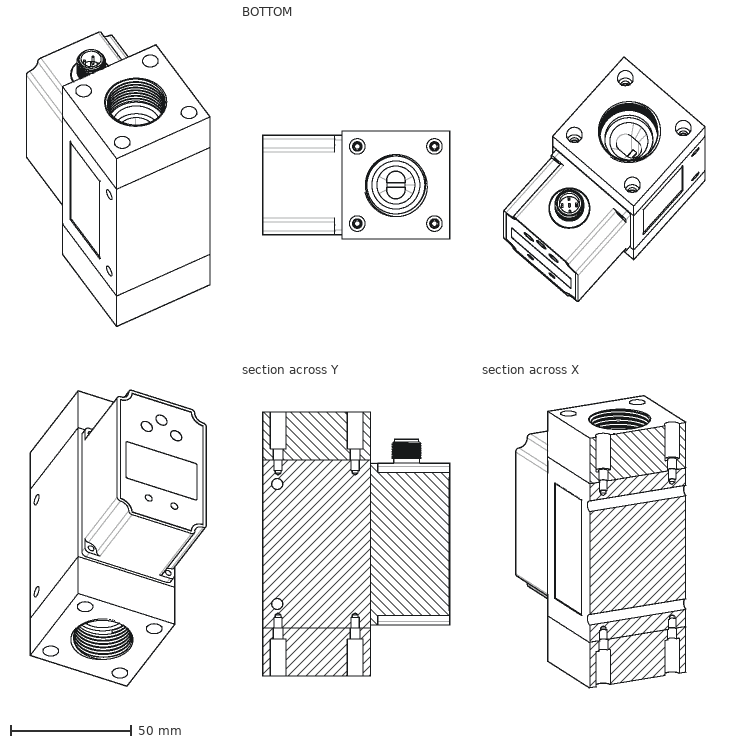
import cadquery as cq
import math

total_length = 110.0
block_side = 45.0
block_length = 70.0
half_side = block_side / 2
half_block = block_length / 2
adapter_length = (total_length - block_length) / 2

pipe_thread_minor = 24.1
pipe_thread_major = 26.4
pipe_thread_pitch = 1.82
pipe_thread_depth = 15.0
pipe_groove_mouth = 0.8 * pipe_thread_pitch
pipe_groove_root = 0.2 * pipe_thread_pitch
pipe_thread_phase = 45.0
pipe_entry_chamfer = 0.7
adapter_bore = 20.0
inlet_diameter = 15.8
inlet_depth = 9.9
channel_width = 7.6
channel_height = 11.4
bluff_bar_size = 2.0

groove_overlap = 0.1

bolt_offset = 16.1
bolt_counterbore = 6.5
bolt_counterbore_depth = 15.4
bolt_clearance = 4.0
bolt_tap_drill = 3.3
bolt_tap_depth = 4.4
bolt_pilot_drill = 2.3
bolt_pilot_depth = 5.5
drill_tip_angle = 118.0

mount_hole_diameter = 4.5
mount_hole_x = 16.4
mount_hole_z = 25.0
label_center_x = -4.0
label_width = 24.9
label_height = 50.7
label_depth = 0.5

housing_depth = 33.0
housing_width = 41.5
housing_height = 67.4
flange_thickness = 3.0
flange_corner_radius = 2.0
notch_reach = 5.4
notch_fillet = 1.5
notch_radius = notch_reach - notch_fillet
housing_screw_y = 17.9
housing_screw_z = 31.0
housing_screw_clearance = 2.5
housing_screw_drill = 2.0
housing_screw_depth = 3.8

panel_margin = 1.5
panel_depth = 0.2
mark_depth = 0.1
display_width = 33.0
display_height = 19.8
display_z = -4.6
display_corner_radius = 0.8
lamp_diameter = 5.2
lamp_positions = [(0, 22.9), (-6.8, 16.9), (6.8, 16.9)]
button_diameter = 3.2
button_positions = [(-5.9, -21.6), (5.9, -21.6)]

plug_offset = 15.0
plug_flange_diameter = 16.6
plug_flange_gap = 0.2
plug_flange_thickness = 1.1
plug_height = 9.9
plug_collar_diameter = 10.8
plug_rim_diameter = 10.1
plug_rim_height = 1.1
plug_thread_major = 12.0
plug_thread_pitch = 1.0
plug_groove_mouth = 0.9 * plug_thread_pitch
plug_groove_root = 0.03 * plug_thread_pitch
plug_thread_minor = 10.9
plug_collar_height = 1.9
plug_chamfer = 0.7
plug_thread_inset = 0.3
plug_socket_diameter = 8.4
plug_socket_depth = 6.6
pin_diameter = 0.8
pin_spacing = 4.2
pin_top_below_rim = 2.1

housing_back_x = -half_side
housing_front_x = housing_back_x - housing_depth
flange_front_x = housing_back_x - flange_thickness
housing_top_z = housing_height / 2
plug_x = housing_back_x - plug_offset
bolt_points = [(sx * bolt_offset, sy * bolt_offset) for sx in (-1, 1) for sy in (-1, 1)]


def thread_groove(pitch, height, mouth_radius, root_radius, mouth_width, root_width):
    """Helical cutter around Z, starting at z = 0, with a trapezoid section."""
    helix = cq.Wire.makeHelix(pitch, height, mouth_radius)
    section = cq.Workplane("XZ").polyline([
        (mouth_radius, -mouth_width / 2),
        (root_radius, -root_width / 2),
        (root_radius, root_width / 2),
        (mouth_radius, mouth_width / 2),
    ]).close()
    return section.sweep(cq.Workplane(obj=helix), isFrenet=True)


def make_adapter():
    """Threaded pipe adapter standing on z = 0 with its pipe thread at the top."""
    thread_floor = adapter_length - pipe_thread_depth
    body = cq.Workplane("XY").rect(block_side, block_side).extrude(adapter_length)
    body = body.faces(">Z").workplane().hole(adapter_bore)
    body = body.faces(">Z").workplane().hole(pipe_thread_minor, pipe_thread_depth)
    body = body.faces(">Z").workplane().pushPoints(bolt_points).cboreHole(
        bolt_clearance, bolt_counterbore, bolt_counterbore_depth
    )
    groove = thread_groove(
        pipe_thread_pitch,
        pipe_thread_depth,
        pipe_thread_minor / 2 - groove_overlap,
        pipe_thread_major / 2,
        pipe_groove_mouth,
        pipe_groove_root,
    )
    groove = groove.rotate((0, 0, 0), (0, 0, 1), pipe_thread_phase)
    groove = groove.translate((0, 0, thread_floor + pipe_thread_pitch / 2))
    body = body.cut(groove)

    minor_radius = pipe_thread_minor / 2
    entry_radius = minor_radius + pipe_entry_chamfer
    entry = cq.Solid.makeCone(
        minor_radius,
        entry_radius,
        pipe_entry_chamfer,
        pnt=cq.Vector(0, 0, adapter_length - pipe_entry_chamfer),
    )
    return body.cut(cq.Workplane(obj=entry))


def make_inlet():
    """Funnel from the round inlet at z = 0 down to the slot-shaped channel."""
    return (
        cq.Workplane("XY")
        .circle(inlet_diameter / 2)
        .workplane(offset=-inlet_depth)
        .slot2D(channel_height, channel_width, 90)
        .loft()
    )


def make_tapped_hole():
    """Stepped hole below z = 0 whose narrow pilot ends in a conical tip."""
    radius = bolt_tap_drill / 2
    pilot_radius = bolt_pilot_drill / 2
    tip_length = pilot_radius / math.tan(math.radians(drill_tip_angle / 2))
    return (
        cq.Workplane("XZ")
        .polyline([
            (0, 0),
            (radius, 0),
            (radius, -bolt_tap_depth),
            (pilot_radius, -bolt_tap_depth),
            (pilot_radius, -bolt_pilot_depth),
            (0, -bolt_pilot_depth - tip_length),
        ])
        .close()
        .revolve(360, (0, 0), (0, 1))
    )


def make_block():
    body = cq.Workplane("XY").box(block_side, block_side, block_length)

    channel = cq.Workplane("XY").slot2D(channel_height, channel_width, 90).extrude(half_block, both=True)
    body = body.cut(channel)
    upper_cuts = make_inlet()
    for x, y in bolt_points:
        upper_cuts = upper_cuts.union(make_tapped_hole().translate((x, y, 0)))
    upper_cuts = upper_cuts.translate((0, 0, half_block))
    body = body.cut(upper_cuts).cut(upper_cuts.mirror("XY"))
    body = body.union(cq.Workplane("XY").box(inlet_diameter, bluff_bar_size, bluff_bar_size))

    mount_holes = (
        cq.Workplane("XZ")
        .pushPoints([(mount_hole_x, -mount_hole_z), (mount_hole_x, mount_hole_z)])
        .circle(mount_hole_diameter / 2)
        .extrude(half_side, both=True)
    )
    label = cq.Workplane("XY").box(label_width, 2 * label_depth, label_height)
    label = label.translate((label_center_x, -half_side, 0))

    screw_holes = housing_screws(housing_back_x, housing_screw_drill, housing_screw_depth)
    return body.cut(mount_holes).cut(label).cut(screw_holes)


def yz_plane(x):
    """Plane at the given x whose local axes are Y and Z and whose normal is +X."""
    return cq.Workplane("YZ", origin=(x, 0, 0))


def housing_screws(start_x, diameter, depth):
    """Four cylinders in the corners of the housing, running from start_x toward +X."""
    return (
        yz_plane(start_x)
        .rect(2 * housing_screw_y, 2 * housing_screw_z, forConstruction=True)
        .vertices()
        .circle(diameter / 2)
        .extrude(depth)
    )


def make_case():
    """Front part of the housing: a box whose four long edges are scooped out for the screws."""
    half_w = housing_width / 2
    half_h = housing_height / 2
    edge = notch_reach + notch_fillet
    fillet_mid = notch_fillet * (1 - math.sqrt(0.5))
    notch_mid = notch_fillet + notch_radius * math.sqrt(0.5)
    notch = (
        yz_plane(housing_front_x)
        .moveTo(0, 0)
        .lineTo(0, edge)
        .threePointArc((fillet_mid, notch_reach + fillet_mid), (notch_fillet, notch_reach))
        .threePointArc((notch_mid, notch_mid), (notch_reach, notch_fillet))
        .threePointArc((notch_reach + fillet_mid, fillet_mid), (edge, 0))
        .close()
        .extrude(housing_depth - flange_thickness)
        .translate((0, -half_w, -half_h))
    )
    case = yz_plane(housing_front_x).rect(housing_width, housing_height)
    case = case.extrude(housing_depth - flange_thickness)
    for cutter in (notch, notch.mirror("XZ")):
        case = case.cut(cutter).cut(cutter.mirror("XY"))
    return case


def make_panel_marks():
    """Outlines of display, lamps and buttons as very shallow recesses in the panel."""
    panel = yz_plane(housing_front_x + panel_depth)
    display = panel.center(0, display_z).rect(display_width, display_height).extrude(mark_depth)
    display = display.edges("|X").fillet(display_corner_radius)
    lamps = panel.pushPoints(lamp_positions).circle(lamp_diameter / 2).extrude(mark_depth)
    buttons = panel.pushPoints(button_positions).circle(button_diameter / 2).extrude(mark_depth)
    return display.union(lamps).union(buttons)


def make_housing():
    case = make_case()
    case = case.faces("<X").wires().toPending().offset2D(-panel_margin).cutBlind(panel_depth)
    case = case.cut(make_panel_marks())

    flange = yz_plane(flange_front_x).rect(housing_width, housing_height).extrude(flange_thickness)
    flange = flange.edges("|X").fillet(flange_corner_radius)
    flange = flange.cut(housing_screws(flange_front_x, housing_screw_clearance, flange_thickness))

    plug_recess = (
        cq.Workplane("XY", origin=(plug_x, 0, housing_top_z))
        .circle(plug_flange_diameter / 2 + plug_flange_gap)
        .extrude(-plug_flange_thickness)
    )
    return case.union(flange).cut(plug_recess)


def make_plug():
    """Threaded five-pin plug, its flange flush with z = 0."""
    rim_start = plug_height - plug_rim_height
    thread_length = rim_start - plug_collar_height
    body = cq.Workplane("XY").circle(plug_flange_diameter / 2).extrude(-plug_flange_thickness)
    body = body.union(cq.Workplane("XY").circle(plug_collar_diameter / 2).extrude(plug_collar_height))
    body = body.union(cq.Workplane("XY").circle(plug_rim_diameter / 2).extrude(plug_height))

    threaded = cq.Workplane("XY").circle(plug_thread_major / 2).extrude(thread_length)
    threaded = threaded.faces(">Z").chamfer(plug_chamfer)
    groove = thread_groove(
        plug_thread_pitch,
        thread_length - 2 * plug_thread_inset,
        plug_thread_major / 2 + groove_overlap,
        plug_thread_minor / 2,
        plug_groove_mouth,
        plug_groove_root,
    )
    threaded = threaded.cut(groove.translate((0, 0, plug_thread_inset)))
    body = body.union(threaded.translate((0, 0, plug_collar_height)))

    socket_floor = plug_height - plug_socket_depth
    socket = cq.Workplane("XY", origin=(0, 0, socket_floor)).circle(plug_socket_diameter / 2)
    body = body.cut(socket.extrude(plug_socket_depth))

    half_spacing = pin_spacing / 2
    pin_points = [(sx * half_spacing, sy * half_spacing) for sx in (-1, 1) for sy in (-1, 1)]
    pins = (
        cq.Workplane("XY", origin=(0, 0, socket_floor))
        .pushPoints([(0, 0), *pin_points])
        .circle(pin_diameter / 2)
        .extrude(plug_socket_depth - pin_top_below_rim)
    )
    return body.union(pins)


block = make_block()
housing = make_housing()
plug = make_plug().translate((plug_x, 0, housing_top_z))

upper_adapter = make_adapter().translate((0, 0, half_block))
adapters = [upper_adapter.rotate((0, 0, 0), (1, 0, 0), angle) for angle in (0, 180)]

result = cq.Compound.makeCompound([
    block.val(),
    housing.val(),
    plug.val(),
    *[adapter.val() for adapter in adapters],
])